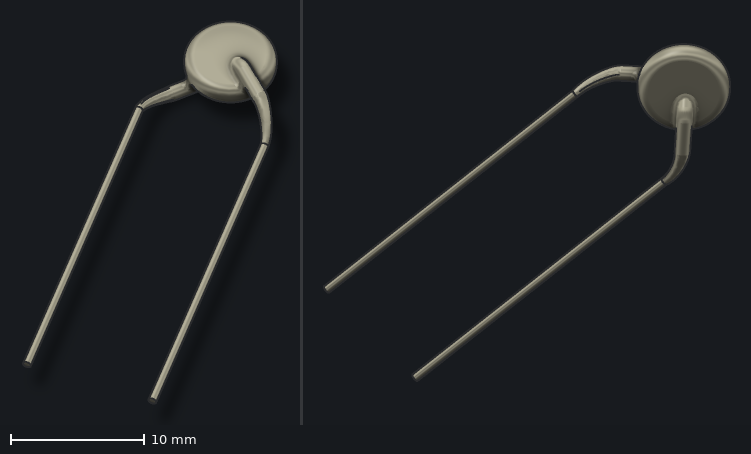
import cadquery as cq
import math

disc_radius = 3.5
disc_thickness = 1.82
disc_edge_radius = 0.8
disc_top_z = disc_thickness / 2

total_length = 35.0
lead_spacing = 10.0
wire_diameter = 0.63
wire_radius = wire_diameter / 2
lead_x = lead_spacing / 2
lead_end_y = disc_radius - total_length

total_height = 4.0
leg_radius = 0.6
leg_axis_z = total_height / 2 - leg_radius
leg_offset = 0.25
leg_start_x = 3.5
knee_x = 1.58
knee_radius = 1.05
knee_angle = math.radians(45)
leg_fillet = 0.508

tail_end_y = -6.45
tail_slope = 0.40
tail_start_pull = 0.6
tail_end_pull = 0.9

up = cq.Vector(0, 0, 1)
inward = cq.Vector(-1, 1, 0).normalized()
touching = 0.0005


def make_disc():
    blank = cq.Workplane("XY").circle(disc_radius).extrude(disc_top_z, both=True)
    return blank.edges().fillet(disc_edge_radius)


def on_leg_axis(x):
    return cq.Vector(x, leg_offset - x, leg_axis_z)


def make_straight_leg():
    """Round leg running across the disc face, then bending down to the disc mid plane."""
    leg_start = on_leg_axis(leg_start_x)
    bend_start = on_leg_axis(knee_x)
    bend_centre = bend_start - up * knee_radius

    def on_bend(angle):
        return bend_centre + (up * math.cos(angle) + inward * math.sin(angle)) * knee_radius

    bend_end = on_bend(knee_angle)
    downward = inward * math.cos(knee_angle) - up * math.sin(knee_angle)
    root = bend_end + downward * (bend_end.z / math.sin(knee_angle))
    path = cq.Wire.assembleEdges([
        cq.Edge.makeLine(leg_start, bend_start),
        cq.Edge.makeThreePointArc(bend_start, on_bend(knee_angle / 2), bend_end),
        cq.Edge.makeLine(bend_end, root),
    ])
    section = cq.Workplane(cq.Plane(leg_start, normal=inward)).circle(leg_radius)
    return section.sweep(cq.Workplane(path))


def make_tail():
    """Curved tail that thins from the leg diameter to the wire diameter."""
    start = on_leg_axis(leg_start_x)
    end = cq.Vector(lead_x, tail_end_y, 0)
    end_direction = cq.Vector(0, -1, -tail_slope)
    path = cq.Edge.makeSpline(
        [start, end],
        tangents=[inward * -tail_start_pull, end_direction * tail_end_pull],
        scale=False,
    )
    start_circle = cq.Wire.makeCircle(leg_radius, start, inward * -1)
    end_circle = cq.Wire.makeCircle(wire_radius, end, cq.Vector(0, -1, 0))
    return cq.Workplane(cq.Solid.sweep_multi([start_circle, end_circle], path))


def lies_on(edge, solid):
    shell = solid.val().Shells()[0]
    samples = [cq.Vertex.makeVertex(*edge.positionAt(t).toTuple()) for t in (0.1, 0.35, 0.6, 0.9)]
    return all(sample.distance(shell) < touching for sample in samples)


def make_coating_half():
    """Upper half of the disc with its blended leg and tail."""
    disc = make_disc()
    leg = make_straight_leg()
    joined = disc.union(leg)
    seams = [edge for edge in joined.edges().vals() if lies_on(edge, disc) and lies_on(edge, leg)]
    blended = joined.newObject(seams).fillet(leg_fillet)
    upper_space = cq.Workplane("XY").box(
        total_length, total_length, total_height, centered=(True, True, False)
    )
    return blended.intersect(upper_space).union(make_tail())


def make_coating():
    """One coating body: the half and its copy turned over about the Y axis."""
    half = make_coating_half()
    return half.union(half.rotate((0, 0, 0), (0, 1, 0), 180))


def make_wire(x):
    wire_start = cq.Plane((x, tail_end_y, 0), xDir=(1, 0, 0), normal=(0, -1, 0))
    return cq.Workplane(wire_start).circle(wire_radius).extrude(tail_end_y - lead_end_y)


coating = make_coating()
wires = [make_wire(side * lead_x) for side in (-1, 1)]
result = cq.Compound.makeCompound([coating.val(), *[wire.val() for wire in wires]])